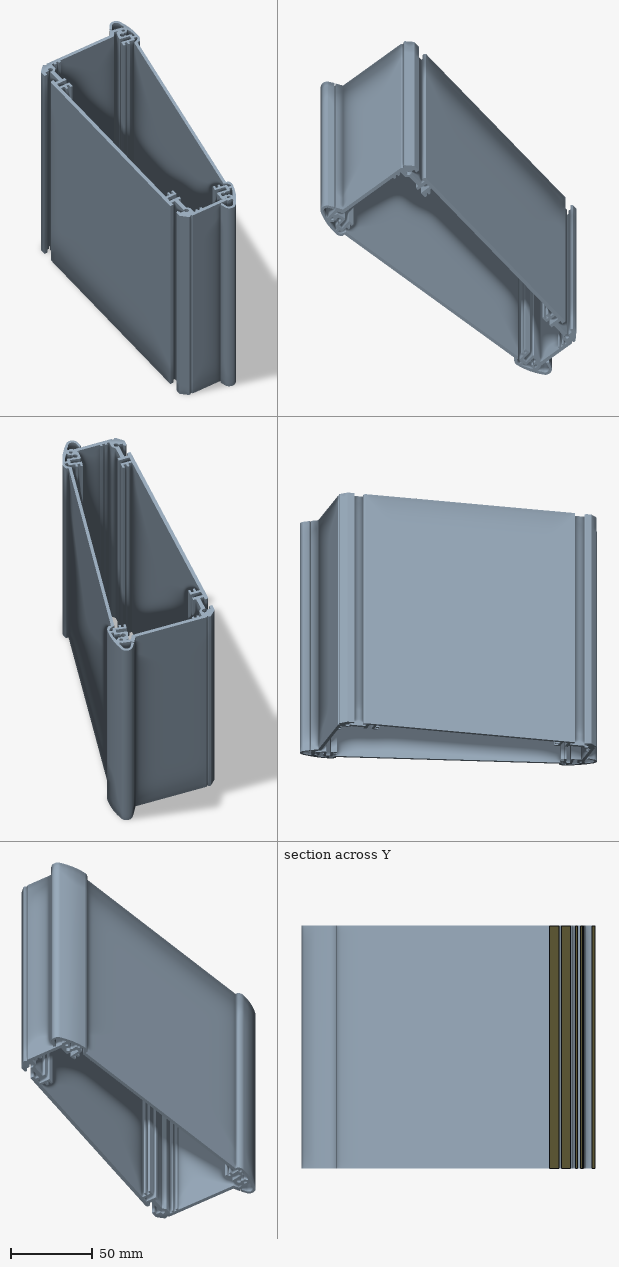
import cadquery as cq
import math


LENGTH = 150.0
LEFT, RIGHT = -1, 1

WALL_OUTER = 82.0
WALL_THICKNESS = 2.2
WALL_INNER = WALL_OUTER - WALL_THICKNESS
WALL_FOOT = 8.3
RIGHT_BARB_FOOT = 32.2
RIGHT_SHOULDER_FOOT = 30.5
LEFT_BEND_OUTER = 53.8
LEFT_BEND_INNER = 55.5
FLOOR_HALF = 67.4
EDGE_CHAMFER = 0.9
FLOOR_THICKNESS = 2.4
POST_TOP = 9.33
POST_OUTER = 65.2
POST_INNER = 63.2
RIB_OUTER = 60.3
RIB_INNER = 58.7
WEB_BOTTOM = 4.9
WEB_TOP = 7.5
CORNER_CHAMFER = 4.2
CORNER_TOP_END = 75.5
LIP_END = 73.5
CORNER_WEB_END = LIP_END
LIP_THICKNESS = 2.0
SLOT_WALL = 75.9
SCREW_X, SCREW_Y, SCREW_RADIUS = 76.3, 6.2, 1.5
NOTCH_Y, NOTCH_DEPTH = 6.2, 0.9

TOOTH = 1.35
TOOTH_PITCH = 3.0
RIB_TOOTH_LENGTH = 2.4
LEG_TOOTH_LENGTH = 2.0
WALL_TOOTH_LENGTH = 1.3
WALL_TOOTH_TOP = 15.4

TILT = math.radians(10)
LID_CENTRE_Y = 51.6
PLATE_HALF_THICKNESS = 1.0
CAP_START = 69.0
LEG_INNER, LEG_OUTER = 71.4, 72.9
LEG_BOTTOM = -8.2
STEM_INNER, STEM_OUTER = 73.4, 75.0
BAR_TOP, BAR_BOTTOM, BAR_CHAMFER = 0.5, -1.18, 0.4
STEM_TOP = 2.9
LEG_TOOTH_TOP = -3.6
CHANNEL_INNER = 75.63
CHANNEL_SKIN = 1.35
CHANNEL_BORE_S, CHANNEL_BORE_V, CHANNEL_BORE_RADIUS = 78.5, -4.98, 1.5
THROAT_INNER, THROAT_OUTER, THROAT_V = 77.7, 79.3, -3.6
HOOK_BOTTOM = -7.52
CLIP_S, CLIP_V, CLIP_RADIUS = 82.0, -2.9, 1.0

HEAD_INNER, HEAD_OUTER, HEAD_TOP = 82.8, 84.8, -2.5
HEAD_STOP_OUTER = 84.5
SHOULDER = -5.8


def extrude(points):
    return cq.Workplane("XY").polyline(points).close().extrude(LENGTH)


def bar(x0, x1, y0, y1):
    return extrude([(x0, y0), (x1, y0), (x1, y1), (x0, y1)])


def rod(x, y, radius):
    return cq.Workplane("XY").center(x, y).circle(radius).extrude(LENGTH)


def teeth(root, length, top):
    """Two teeth that point toward the middle of the part, the upper one flush with top."""
    upper = bar(root - length, root, top - TOOTH, top)
    return upper.union(upper.translate((0, -TOOTH_PITCH, 0)))


def mirrored_pair(half):
    return half.union(half.mirror("YZ")).clean()


def lid_to_base(side, s, v):
    """Base coordinates of a point of the lid section on the given side."""
    x = side * s * math.cos(TILT) + v * math.sin(TILT)
    y = LID_CENTRE_Y - side * s * math.sin(TILT) + v * math.cos(TILT)
    return x, y


def floor_half():
    floor = bar(0, FLOOR_HALF, 0, FLOOR_THICKNESS)
    post = bar(POST_INNER, POST_OUTER, 0, POST_TOP)
    rib = bar(RIB_INNER, RIB_OUTER, 0, POST_TOP)
    web = bar(POST_INNER, CORNER_WEB_END, WEB_BOTTOM, WEB_TOP)
    return floor.union(post).union(rib).union(web).union(teeth(RIB_INNER, RIB_TOOTH_LENGTH, POST_TOP))


def corner_half():
    """Chamfered corner block with a screw bore that opens into the slot above the lip."""
    block = extrude([
        (LIP_END, 0),
        (WALL_OUTER - CORNER_CHAMFER, 0),
        (WALL_OUTER, CORNER_CHAMFER),
        (WALL_OUTER, POST_TOP),
        (CORNER_TOP_END, POST_TOP),
        (CORNER_WEB_END, WEB_TOP),
    ])
    slot = bar(LIP_END, SLOT_WALL, LIP_THICKNESS, WEB_BOTTOM)
    throat = bar(SCREW_X - SCREW_RADIUS, SLOT_WALL, LIP_THICKNESS, SCREW_Y)
    notch = extrude([
        (WALL_OUTER, NOTCH_Y - NOTCH_DEPTH),
        (WALL_OUTER, NOTCH_Y + NOTCH_DEPTH),
        (WALL_OUTER - NOTCH_DEPTH, NOTCH_Y),
    ])
    bore = rod(SCREW_X, SCREW_Y, SCREW_RADIUS)
    block = block.cut(slot).cut(throat).cut(bore).cut(notch)
    return block.union(teeth(WALL_INNER, WALL_TOOTH_LENGTH, WALL_TOOTH_TOP))


def edge_cut(x, y):
    """Diamond that chamfers the edge at (x, y)."""
    return extrude([
        (x - EDGE_CHAMFER, y),
        (x, y - EDGE_CHAMFER),
        (x + EDGE_CHAMFER, y),
        (x, y + EDGE_CHAMFER),
    ])


def right_wall():
    """Straight wall whose head leans with the lid and has a barb on its outer side."""
    return extrude([
        (WALL_INNER, WALL_FOOT),
        (WALL_OUTER, WALL_FOOT),
        (WALL_OUTER, RIGHT_BARB_FOOT),
        lid_to_base(RIGHT, HEAD_OUTER, -4.5),
        lid_to_base(RIGHT, HEAD_OUTER, HEAD_TOP),
        lid_to_base(RIGHT, HEAD_INNER, HEAD_TOP),
        lid_to_base(RIGHT, HEAD_INNER, SHOULDER),
        (WALL_INNER, RIGHT_SHOULDER_FOOT),
    ])


def left_wall():
    """Wall that bends outward at the top and ends in a head square to the lid."""
    return extrude([
        (-WALL_INNER, WALL_FOOT),
        (-WALL_OUTER, WALL_FOOT),
        (-WALL_OUTER, LEFT_BEND_OUTER),
        lid_to_base(LEFT, 85.7, -10.3),
        lid_to_base(LEFT, HEAD_OUTER, -9.0),
        lid_to_base(LEFT, HEAD_OUTER, HEAD_TOP),
        lid_to_base(LEFT, HEAD_INNER, HEAD_TOP),
        lid_to_base(LEFT, HEAD_INNER, -8.9),
        (-WALL_INNER, LEFT_BEND_INNER),
    ])


def make_base():
    symmetric = mirrored_pair(floor_half().union(corner_half()))
    symmetric = (
        symmetric.cut(edge_cut(-FLOOR_HALF, 0))
        .cut(edge_cut(LIP_END, 0))
        .cut(edge_cut(LIP_END, LIP_THICKNESS))
    )
    return symmetric.union(right_wall()).union(left_wall()).clean()


def cap():
    """Curved hollow nose from the end of the plate round to the foot of the side wall."""
    return (
        cq.Workplane("XY")
        .moveTo(CAP_START, PLATE_HALF_THICKNESS)
        .lineTo(CAP_START, 2.5)
        .threePointArc((70.5, 3.53), (72.8, 4.0))
        .threePointArc((83.3, 1.6), (90.2, -1.6))
        .threePointArc((91.93, -5.0), (90.2, -8.3))
        .lineTo(86.4, -10.1)
        .lineTo(85.3, -8.9)
        .lineTo(88.2, -7.6)
        .threePointArc((90.2, -5.0), (88.8, -2.7))
        .lineTo(86.5, -1.8)
        .lineTo(85.7, -1.3)
        .lineTo(HEAD_STOP_OUTER, -1.3)
        .lineTo(81.9, -0.2)
        .threePointArc((78.3, 1.35), (74.3, 2.4))
        .threePointArc((72.0, 2.4), (70.5, 0.9))
        .lineTo(69.4, -PLATE_HALF_THICKNESS)
        .lineTo(CAP_START, -PLATE_HALF_THICKNESS)
        .close()
        .extrude(LENGTH)
    )


def toothed_leg():
    """T-shaped hanger under the cap, with a toothed leg on its inner side."""
    leg = bar(LEG_INNER, LEG_OUTER, LEG_BOTTOM, BAR_TOP)
    cross = bar(LEG_INNER, CHANNEL_INNER + CHANNEL_SKIN, BAR_BOTTOM, BAR_TOP)
    arms = cross.union(leg).edges("|Z").edges(">Y").chamfer(BAR_CHAMFER)
    stem = bar(STEM_INNER, STEM_OUTER, BAR_BOTTOM, STEM_TOP)
    return arms.union(stem).union(teeth(LEG_INNER, LEG_TOOTH_LENGTH, LEG_TOOTH_TOP))


def screw_channel():
    """Screw channel below the cross bar, closed on its outer side by the hook that grips the wall head."""
    skin = bar(CHANNEL_INNER, CHANNEL_INNER + CHANNEL_SKIN, CHANNEL_BORE_V, BAR_BOTTOM)
    body = extrude([
        (CHANNEL_INNER, -7.6),
        (76.3, LEG_BOTTOM),
        (81.9, HOOK_BOTTOM),
        (HEAD_INNER, SHOULDER),
        (HEAD_INNER, 0),
        (81.9, 0),
        (79.7, -1.6),
        (80.0, -2.7),
        (THROAT_OUTER, THROAT_V),
        (THROAT_INNER, THROAT_V),
        (CHANNEL_INNER + CHANNEL_SKIN, -2.5),
        (CHANNEL_INNER, -2.5),
    ])
    throat = bar(THROAT_INNER, THROAT_OUTER, CHANNEL_BORE_V, 0)
    bore = rod(CHANNEL_BORE_S, CHANNEL_BORE_V, CHANNEL_BORE_RADIUS)
    clip_groove = rod(CLIP_S, CLIP_V, CLIP_RADIUS)
    return body.cut(throat).cut(bore).union(skin).cut(clip_groove)


def make_lid():
    plate = bar(0, CAP_START, -PLATE_HALF_THICKNESS, PLATE_HALF_THICKNESS)
    head_stop = bar(HEAD_INNER, HEAD_STOP_OUTER, HEAD_TOP, 0)
    half = plate.union(cap()).union(toothed_leg()).union(screw_channel()).union(head_stop)
    level_lid = mirrored_pair(half)
    tilted_lid = level_lid.rotate((0, 0, 0), (0, 0, 1), -math.degrees(TILT))
    return tilted_lid.translate((0, LID_CENTRE_Y, 0))


base = make_base().solids()
lid = make_lid().solids()

result = cq.Compound.makeCompound([base.val(), lid.val()])